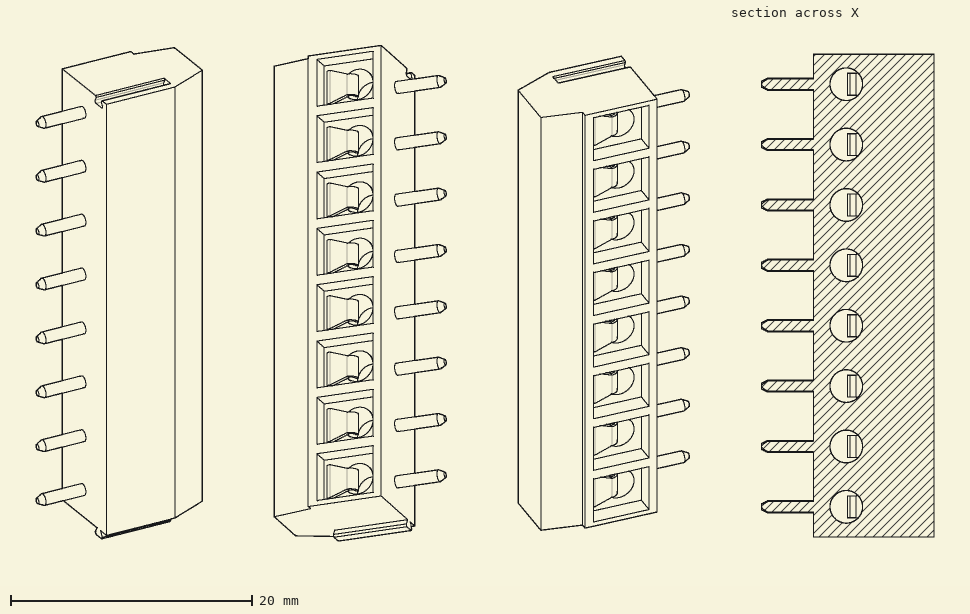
import cadquery as cq


cell_count = 8
total_height = 40.7
rail_height = 0.7
housing_height = total_height - rail_height
pitch = housing_height / cell_count

housing_width = 7.5
housing_depth = 10.0
shoulder_y = 6.5
shoulder_step = 0.53
crown_left = 1.15
crown_right = 5.9

pocket_depth = 1.63
pocket_start_y = 0.75
pocket_length = 5.0
pocket_height = 4.15

hole_diameter = 2.7
hole_y = 2.73
hole_depth = 3.25

leaf_rise = 0.35
leaf_front_x = pocket_depth - leaf_rise
leaf_thickness = 0.25
leaf_outer_y = 5.5
leaf_outer_radius = 0.4
leaf_curl_radius = 0.75
leaf_curl_y = 2.8
leaf_wide = 2.93
leaf_narrow = 1.85
leaf_wide_end_y = leaf_outer_y - leaf_outer_radius
leaf_narrow_start_y = leaf_curl_y + leaf_curl_radius

pin_x = 3.5
pin_diameter = 1.0
pin_length = 4.3
pin_tip_diameter = 0.5
pin_tip_length = 0.53

joint_x = 6.2
neck_width = 0.6
head_width = 1.22
head_flare_height = 0.5
head_tip_width = 0.98
groove_depth = 0.7
groove_lip = 0.12
groove_mouth_width = 0.85
groove_floor_width = 1.45
groove_corner_radius = 0.15


def cell_center(index):
    return (index + 0.5) * pitch


def make_housing():
    outline = [
        (0, 0),
        (housing_width, 0),
        (housing_width, shoulder_y),
        (crown_right, housing_depth),
        (crown_left, housing_depth),
        (shoulder_step, shoulder_y),
        (0, shoulder_y),
    ]
    return cq.Workplane("XY").polyline(outline).close().extrude(housing_height)


def make_joint(half_outline):
    """Extrude an outline, mirrored about the joint axis, from the pin face to the shoulder."""
    right = [(joint_x + half, z) for half, z in half_outline]
    left = [(joint_x - half, z) for half, z in reversed(half_outline)]
    return cq.Workplane("XZ").polyline(right + left).close().extrude(-shoulder_y)


def make_rail():
    return make_joint([
        (neck_width / 2, 0),
        (head_width / 2, -head_flare_height),
        (head_tip_width / 2, -rail_height),
    ])


def make_groove():
    groove = make_joint([
        (groove_mouth_width / 2 + groove_lip, housing_height),
        (groove_mouth_width / 2, housing_height - groove_lip),
        (groove_floor_width / 2, housing_height - groove_depth),
    ])
    return groove.faces("<Z").edges("|Y").fillet(groove_corner_radius)


def make_cell_cut(z):
    """Rectangular pocket with a blind round hole in its floor."""
    pocket = cq.Workplane("XY").box(
        pocket_depth, pocket_length, pocket_height, centered=(False, False, True)
    ).translate((0, pocket_start_y, z))
    hole = (
        cq.Workplane("YZ", origin=(pocket_depth, hole_y, z))
        .circle(hole_diameter / 2)
        .extrude(hole_depth)
    )
    return pocket.union(hole)


def make_leaf(z):
    """Bent strip, seen along Z, trimmed to a plan that narrows toward the wire hole."""
    outer_center_x = leaf_front_x + leaf_outer_radius
    curl_center_x = leaf_front_x + leaf_curl_radius
    inner_radius = leaf_curl_radius - leaf_thickness
    strip = (
        cq.Workplane("XY", origin=(0, 0, z))
        .moveTo(outer_center_x, leaf_outer_y)
        .radiusArc((leaf_front_x, leaf_wide_end_y), -leaf_outer_radius)
        .lineTo(leaf_front_x, leaf_narrow_start_y)
        .radiusArc((curl_center_x, leaf_curl_y), -leaf_curl_radius)
        .lineTo(curl_center_x, leaf_curl_y + leaf_thickness)
        .radiusArc((leaf_front_x + leaf_thickness, leaf_narrow_start_y), inner_radius)
        .lineTo(outer_center_x, leaf_narrow_start_y)
        .close()
        .extrude(leaf_wide / 2, both=True)
    )
    plan = [
        (leaf_outer_y, leaf_wide / 2),
        (leaf_wide_end_y, leaf_wide / 2),
        (leaf_narrow_start_y, leaf_narrow / 2),
        (leaf_curl_y, leaf_narrow / 2),
    ]
    mirrored_plan = [(y, -half) for y, half in reversed(plan)]
    taper = (
        cq.Workplane("YZ", origin=(0, 0, z))
        .polyline(plan + mirrored_plan)
        .close()
        .extrude(housing_width)
    )
    return strip.intersect(taper)


def make_pin(z):
    """Round pin with a conical tip, starting at the pin face."""
    shank_end = pin_tip_length - pin_length
    half_section = [
        (0, 0),
        (pin_diameter / 2, 0),
        (pin_diameter / 2, shank_end),
        (pin_tip_diameter / 2, -pin_length),
        (0, -pin_length),
    ]
    pin = cq.Workplane("XY").polyline(half_section).close().revolve(360, (0, 0), (0, 1))
    return pin.translate((pin_x, 0, z))


result = make_housing().union(make_rail()).cut(make_groove())
for index in range(cell_count):
    z = cell_center(index)
    result = result.cut(make_cell_cut(z)).union(make_leaf(z)).union(make_pin(z))